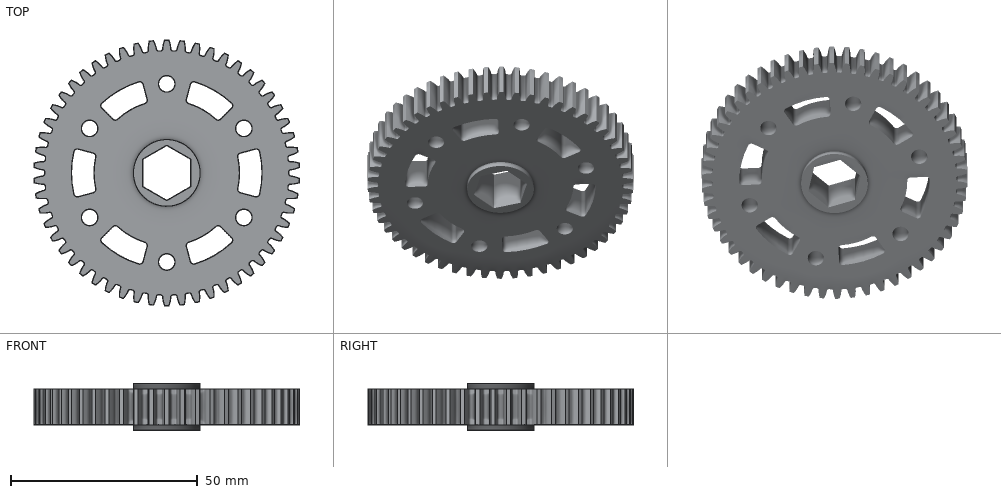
import cadquery as cq
import math

tooth_count = 54
outer_diameter = 71.1
pressure_angle = math.radians(14.5)
module = outer_diameter / (tooth_count + 2)
dedendum = 1.25 * module
tip_radius = outer_diameter / 2
pitch_radius = tip_radius - module
base_radius = pitch_radius * math.cos(pressure_angle)
root_radius = pitch_radius - dedendum
root_fillet = (base_radius**2 - root_radius**2) / (2 * root_radius)
backlash = 0.1
flank_steps = 4

overall_height = 12.6
gear_width = 9.6

hub_diameter = 17.85
hex_across_flats = 12.7
hex_across_corners = hex_across_flats / math.cos(math.radians(30))

ring_count = 6
first_hole_angle = 90
hole_diameter = 4.35
hole_circle_radius = 23.8
window_inner_radius = 19.5
window_outer_radius = 25.45
window_half_angle = math.radians(15)
window_fillet = 0.9


def polar(radius, angle):
    return (radius * math.cos(angle), radius * math.sin(angle))


def involute_angle(radius):
    """Polar angle swept by the involute from the base circle out to radius."""
    roll = math.sqrt((radius / base_radius) ** 2 - 1)
    return roll - math.atan(roll)


def half_tooth_angle(radius):
    """Angle between the tooth centreline and its flank at the given radius."""
    half_at_pitch = math.pi / (2 * tooth_count) - backlash / (2 * pitch_radius)
    return half_at_pitch + involute_angle(pitch_radius) - involute_angle(radius)


def make_toothed_disc():
    pitch_angle = 2 * math.pi / tooth_count
    flank_radii = [
        base_radius + (tip_radius - base_radius) * step / flank_steps for step in range(flank_steps + 1)
    ]
    tip_half_angle = half_tooth_angle(tip_radius)
    base_half_angle = half_tooth_angle(base_radius)
    root_half_angle = base_half_angle + math.atan(root_fillet / base_radius)

    def fillet_middle(centre, side):
        """Middle of a root fillet arc; side is +1 or -1 around the tooth centreline."""
        fillet_x, fillet_y = polar(root_radius + root_fillet, centre + side * root_half_angle)
        flank_facing = base_half_angle + math.pi * 3 / 2
        axis_facing = root_half_angle + math.pi
        facing = centre + side * (flank_facing + axis_facing) / 2
        return (fillet_x + root_fillet * math.cos(facing), fillet_y + root_fillet * math.sin(facing))

    first_centre = math.pi / 2
    outline = cq.Workplane("XY").workplane(offset=-gear_width / 2)
    outline = outline.moveTo(*polar(root_radius, first_centre - root_half_angle))
    for tooth in range(tooth_count):
        centre = first_centre + tooth * pitch_angle
        rising = [polar(r, centre - half_tooth_angle(r)) for r in flank_radii]
        falling = [polar(r, centre + half_tooth_angle(r)) for r in reversed(flank_radii)]
        next_centre = centre + pitch_angle

        outline = outline.threePointArc(fillet_middle(centre, -1), rising[0])
        outline = outline.spline(rising[1:], includeCurrent=True)
        outline = outline.threePointArc(polar(tip_radius, centre), polar(tip_radius, centre + tip_half_angle))
        outline = outline.spline(falling[1:], includeCurrent=True)
        outline = outline.threePointArc(fillet_middle(centre, 1), polar(root_radius, centre + root_half_angle))
        outline = outline.threePointArc(
            polar(root_radius, centre + pitch_angle / 2),
            polar(root_radius, next_centre - root_half_angle),
        )
    return outline.close().extrude(gear_width)


def make_window():
    """Cutter for the window on +X, with radial ends and rounded corners."""
    window = (
        cq.Workplane("XY")
        .moveTo(*polar(window_inner_radius, -window_half_angle))
        .lineTo(*polar(window_outer_radius, -window_half_angle))
        .threePointArc((window_outer_radius, 0), polar(window_outer_radius, window_half_angle))
        .lineTo(*polar(window_inner_radius, window_half_angle))
        .threePointArc((window_inner_radius, 0), polar(window_inner_radius, -window_half_angle))
        .close()
        .extrude(overall_height / 2, both=True)
    )
    return window.edges("|Z").fillet(window_fillet)


gear = make_toothed_disc()

hub = cq.Workplane("XY").circle(hub_diameter / 2).extrude(overall_height / 2, both=True)
gear = gear.union(hub)

hex_bore = (
    cq.Workplane("XY")
    .transformed(rotate=(0, 0, 90))
    .polygon(6, hex_across_corners)
    .extrude(overall_height / 2, both=True)
)
gear = gear.cut(hex_bore)

holes = (
    cq.Workplane("XY")
    .polarArray(hole_circle_radius, first_hole_angle, 360, ring_count)
    .circle(hole_diameter / 2)
    .extrude(overall_height / 2, both=True)
)
gear = gear.cut(holes)

window_cutter = make_window()
for index in range(ring_count):
    gear = gear.cut(window_cutter.rotate((0, 0, 0), (0, 0, 1), index * 360 / ring_count))

result = gear